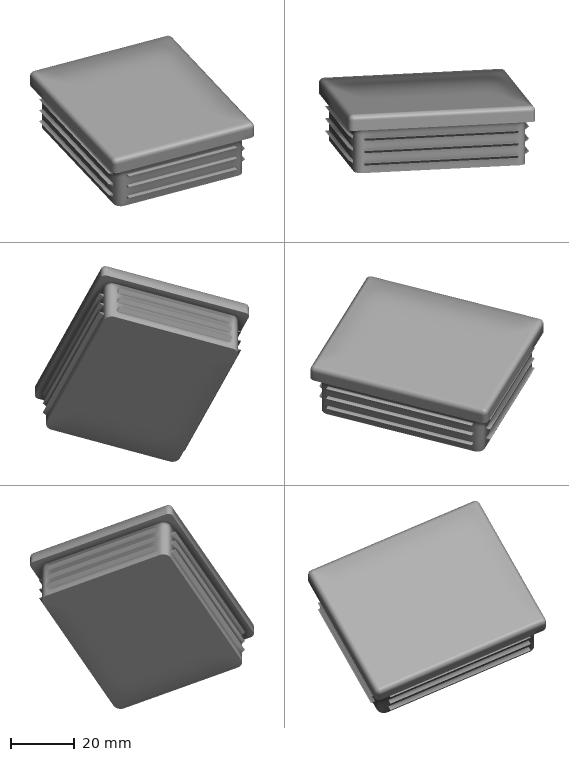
import cadquery as cq

cap_length = 60.0
cap_width = 50.0
cap_height = 5.0
cap_radius = 1.6

total_height = 19.5
body_inset = 2.5
body_radius = 2.5
body_length = cap_length - 2 * body_inset
body_width = cap_width - 2 * body_inset
body_height = total_height - cap_height

rib_count = 3
rib_pitch = 4.0
first_rib_drop = 3.0
rib_reach = 1.5
rib_height = 1.0
rib_length_x = 49.2
rib_length_y = 38.0


def make_cap():
    """Plate with rounded upright corners and a rounded top edge."""
    plate = cq.Workplane("XY").workplane(offset=body_height).rect(cap_length, cap_width).extrude(cap_height)
    return plate.edges("|Z or >Z").fillet(cap_radius)


def make_body():
    """Solid plug with rounded upright corners."""
    plug = cq.Workplane("XY").rect(body_length, body_width).extrude(body_height)
    return plug.edges("|Z").fillet(body_radius)


def make_rib(face_distance, length, top_z):
    """Triangular rib on the +X side, rooted on a face this far from the Z axis."""
    return (
        cq.Workplane("XZ")
        .moveTo(0, top_z)
        .lineTo(face_distance + rib_reach, top_z)
        .lineTo(face_distance, top_z - rib_height)
        .lineTo(0, top_z - rib_height)
        .close()
        .extrude(length / 2, both=True)
    )


result = make_cap().union(make_body())

for row in range(rib_count):
    rib_top = body_height - first_rib_drop - row * rib_pitch
    short_side_rib = make_rib(body_length / 2, rib_length_y, rib_top)
    long_side_rib = make_rib(body_width / 2, rib_length_x, rib_top).rotate((0, 0, 0), (0, 0, 1), 90)
    for rib in (short_side_rib, long_side_rib):
        opposite_rib = rib.rotate((0, 0, 0), (0, 0, 1), 180)
        result = result.union(rib).union(opposite_rib)